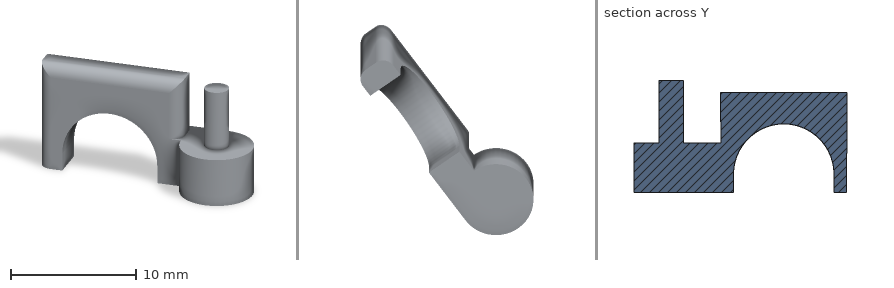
import cadquery as cq

body_length = 12.0
body_thickness = 3.0
body_height = 9.0
edge_radius = 1.0

arch_radius = 4.0
arch_crown_height = 5.5

foot_radius = 3.0
foot_height = 4.0
pin_radius = 1.0
pin_top = body_height

body_right = -foot_radius
body_left = body_right - body_length
arch_center_x = body_left + body_length / 2
arch_spring_height = arch_crown_height - arch_radius


def make_body():
    """Upright plate with its end and top edges rounded on both faces."""
    plate = cq.Workplane("XY").box(body_length, body_thickness, body_height, centered=False)
    plate = plate.translate((body_left, 0, 0))
    return plate.edges("|Z or (|X and >Z)").fillet(edge_radius)


def make_arch_cutter():
    """Round-topped opening running through the whole thickness of the body."""
    return (
        cq.Workplane("XZ")
        .moveTo(arch_center_x - arch_radius, 0)
        .lineTo(arch_center_x - arch_radius, arch_spring_height)
        .threePointArc(
            (arch_center_x, arch_crown_height),
            (arch_center_x + arch_radius, arch_spring_height),
        )
        .lineTo(arch_center_x + arch_radius, 0)
        .close()
        .extrude(-body_thickness)
    )


def make_foot():
    """Round foot with a square-edged web joining it to the body."""
    web_left = body_right - edge_radius
    web = cq.Workplane("XY").box(-web_left, body_thickness, foot_height, centered=False)
    web = web.translate((web_left, 0, 0))
    return cq.Workplane("XY").circle(foot_radius).extrude(foot_height).union(web)


def make_pin():
    """Pin rising from the base of the foot to the top of the body."""
    return cq.Workplane("XY").circle(pin_radius).extrude(pin_top)


result = make_body().cut(make_arch_cutter()).union(make_foot()).union(make_pin())